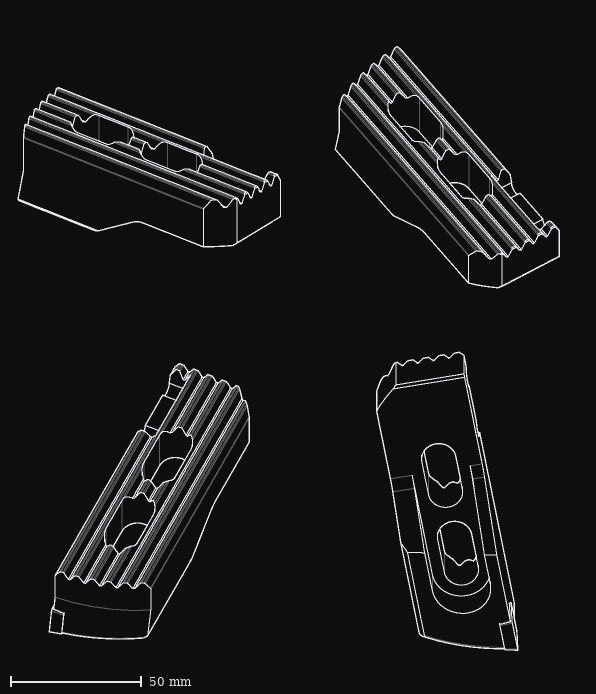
import cadquery as cq
import math


LENGTH = 111.5
WIDTH = 35.7
TOP_Z = 37.4
SHANK_BOTTOM_Z = 16.8
HEEL_BOTTOM_Z = 0.3
HEEL_END_X = 41.6
RAMP_ANGLE = 30.0
RAMP_FILLET = 10.0
UNDERSIDE_TILT = 5.6
UNDERSIDE_CHAMFER = 2.0
END_BOTTOM_CHAMFER = 1.0
END_TOP_CHAMFER = 0.5
END_CORNER = 9.1
END_CORNER_BULGE = 0.3

TEETH = 6
EDGE_TO_TOOTH = 2.8
TOOTH_PITCH = (WIDTH - 2 * EDGE_TO_TOOTH) / (TEETH - 1)
TOOTH_LAND = 1.5
TOOTH_FLANK_ANGLE = 28.5
TOOTH_DEPTH = 3.6
TOOTH_EDGE_FILLET = 0.6

NOSE_RADIUS = 83.6
NOSE_X = 3.7
NOSE_AXIS_Y = 4.5
NOSE_CONE_TOP_Z = 19.2
NOSE_CONE_ANGLE = 10.0
NOSE_EDGE_FILLET = 1.0

SLOT_WIDTH = 13.2
SLOT_LENGTH = 27.4
SLOT_CENTRES_X = (36.9, 70.7)
SLOT_CENTRE_Y = -16.0

SEAT_CENTRE_X = 92.5
SEAT_TOP_WIDTH = 31.2
SEAT_REACH = 8.0
SEAT_FLOOR_Z = 29.1
SEAT_WALL_DRAFT = 15.0
SEAT_RELIEF_RADIUS = 2.9
SEAT_RELIEF_OFFSET = 10.7

RECESS_WIDTH = 22.5

INSERT_HEIGHT = 12.7
INSERT_ANGLE = 80.0
INSERT_CLEARANCE = 7.0
INSERT_NOSE_RADIUS = 0.8
INSERT_PROUD = 0.7
INSERT_DEPTH = 4.2

MARGIN = 5.6


def tan(degrees):
    return math.tan(math.radians(degrees))


def side_body():
    """Length and height outline with the ramp, extruded across the width."""
    lowest_z = HEEL_BOTTOM_Z - MARGIN
    ramp_start_x = HEEL_END_X - MARGIN / tan(RAMP_ANGLE)
    ramp_end_x = HEEL_END_X + (SHANK_BOTTOM_Z - HEEL_BOTTOM_Z) / tan(RAMP_ANGLE)
    body = (
        cq.Workplane("XZ")
        .moveTo(-MARGIN, TOP_Z)
        .lineTo(LENGTH - END_TOP_CHAMFER, TOP_Z)
        .lineTo(LENGTH, TOP_Z - END_TOP_CHAMFER)
        .lineTo(LENGTH, SHANK_BOTTOM_Z + END_BOTTOM_CHAMFER)
        .lineTo(LENGTH - END_BOTTOM_CHAMFER, SHANK_BOTTOM_Z)
        .lineTo(ramp_end_x, SHANK_BOTTOM_Z)
        .lineTo(ramp_start_x, lowest_z)
        .lineTo(-MARGIN, lowest_z)
        .close()
        .extrude(WIDTH)
    )
    ramp_top = cq.selectors.NearestToPointSelector((ramp_end_x, -WIDTH / 2, SHANK_BOTTOM_Z))
    return body.edges(ramp_top).fillet(RAMP_FILLET)


def cross_section_body():
    """Width and height outline with the teeth and the tilted underside, run along the length."""
    flank = TOOTH_DEPTH * tan(TOOTH_FLANK_ANGLE)
    shoulder_z = TOP_Z - (EDGE_TO_TOOTH - TOOTH_LAND / 2) / tan(TOOTH_FLANK_ANGLE)
    chamfer_y = -WIDTH + UNDERSIDE_CHAMFER
    chamfer_z = HEEL_BOTTOM_Z - chamfer_y * tan(UNDERSIDE_TILT)
    points = [(0, HEEL_BOTTOM_Z), (0, shoulder_z)]
    for tooth in range(TEETH):
        middle = -EDGE_TO_TOOTH - tooth * TOOTH_PITCH
        if tooth > 0:
            points.append((middle + TOOTH_LAND / 2 + flank, TOP_Z - TOOTH_DEPTH))
        points.append((middle + TOOTH_LAND / 2, TOP_Z))
        points.append((middle - TOOTH_LAND / 2, TOP_Z))
        if tooth < TEETH - 1:
            points.append((middle - TOOTH_LAND / 2 - flank, TOP_Z - TOOTH_DEPTH))
    points.append((-WIDTH, shoulder_z))
    points.append((-WIDTH, chamfer_z + UNDERSIDE_CHAMFER))
    points.append((chamfer_y, chamfer_z))
    bar = cq.Workplane("YZ").polyline(points).close().extrude(LENGTH + MARGIN)
    bar = bar.faces(">Z").edges("|X").fillet(TOOTH_EDGE_FILLET)
    for side_y in (0, -WIDTH):
        shoulder = cq.selectors.NearestToPointSelector((LENGTH / 2, side_y, shoulder_z))
        bar = bar.edges(shoulder).fillet(TOOTH_EDGE_FILLET)
    return bar


def nose_body():
    """Turned shape whose outside is the curved nose of the holder."""
    base_z = -MARGIN
    base_radius = NOSE_RADIUS + (NOSE_CONE_TOP_Z - base_z) * tan(NOSE_CONE_ANGLE)
    turned = (
        cq.Workplane("XZ")
        .polyline([
            (0, base_z),
            (base_radius, base_z),
            (NOSE_RADIUS, NOSE_CONE_TOP_Z),
            (NOSE_RADIUS, TOP_Z + MARGIN),
            (0, TOP_Z + MARGIN),
        ])
        .close()
        .revolve(360, (0, 0), (0, 1))
    )
    return turned.translate((NOSE_X + NOSE_RADIUS, NOSE_AXIS_Y, 0))


def end_corner_cutter():
    """Everything outside the gently bulged corner at the far end of the front face."""
    start = (LENGTH - END_CORNER, -WIDTH)
    end = (LENGTH, -WIDTH + END_CORNER)
    shift = END_CORNER_BULGE / math.sqrt(2)
    middle = (LENGTH - END_CORNER / 2 + shift, -WIDTH + END_CORNER / 2 - shift)
    return (
        cq.Workplane("XY")
        .moveTo(*start)
        .threePointArc(middle, end)
        .lineTo(LENGTH + MARGIN, end[1])
        .lineTo(LENGTH + MARGIN, -WIDTH - MARGIN)
        .lineTo(start[0], -WIDTH - MARGIN)
        .close()
        .extrude(TOP_Z + MARGIN)
    )


def slot_cutter():
    return (
        cq.Workplane("XY")
        .pushPoints([(x, SLOT_CENTRE_Y) for x in SLOT_CENTRES_X])
        .slot2D(SLOT_LENGTH, SLOT_WIDTH)
        .extrude(TOP_Z + MARGIN)
    )


def seat_cutter():
    """Drafted seat with a round relief groove along the foot of each end wall."""
    half_top = SEAT_TOP_WIDTH / 2
    half_floor = half_top - (TOP_Z - SEAT_FLOOR_Z) * tan(SEAT_WALL_DRAFT)
    cutter = (
        cq.Workplane("XZ")
        .polyline([
            (SEAT_CENTRE_X - half_top, TOP_Z),
            (SEAT_CENTRE_X + half_top, TOP_Z),
            (SEAT_CENTRE_X + half_floor, SEAT_FLOOR_Z),
            (SEAT_CENTRE_X - half_floor, SEAT_FLOOR_Z),
        ])
        .close()
        .extrude(SEAT_REACH)
    )
    for side in (-1, 1):
        groove = (
            cq.Workplane("XZ")
            .center(SEAT_CENTRE_X + side * SEAT_RELIEF_OFFSET, SEAT_FLOOR_Z)
            .circle(SEAT_RELIEF_RADIUS)
            .extrude(SEAT_REACH)
        )
        cutter = cutter.union(groove)
    return cutter


def head_recess_cutter():
    """Round-ended recess concentric with the outer slot ends, level with the shank underside."""
    first_x, last_x = SLOT_CENTRES_X
    length = last_x - first_x + SLOT_LENGTH - SLOT_WIDTH + RECESS_WIDTH
    return (
        cq.Workplane("XY", origin=(0, 0, -MARGIN))
        .center((first_x + last_x) / 2, SLOT_CENTRE_Y)
        .slot2D(length, RECESS_WIDTH)
        .extrude(SHANK_BOTTOM_Z + MARGIN)
    )


def make_insert():
    side = INSERT_HEIGHT / math.sin(math.radians(INSERT_ANGLE))
    lean = INSERT_HEIGHT / tan(INSERT_ANGLE)
    corner_x = INSERT_NOSE_RADIUS * (1 - 1 / tan(INSERT_ANGLE / 2))
    return (
        cq.Workplane("XZ", origin=(corner_x, INSERT_PROUD, 0))
        .polyline([(0, 0), (side, 0), (side + lean, INSERT_HEIGHT), (lean, INSERT_HEIGHT)])
        .close()
        .extrude(INSERT_PROUD + INSERT_DEPTH, taper=INSERT_CLEARANCE)
        .edges("not #Y")
        .fillet(INSERT_NOSE_RADIUS)
    )


def make_holder(insert):
    body = side_body().intersect(cross_section_body()).intersect(nose_body())
    mid_width_z = HEEL_BOTTOM_Z + WIDTH / 2 * tan(UNDERSIDE_TILT)
    nose_edge = cq.selectors.NearestToPointSelector((NOSE_X, -WIDTH / 2, mid_width_z))
    body = body.edges(nose_edge).fillet(NOSE_EDGE_FILLET)
    body = body.cut(end_corner_cutter())
    body = body.cut(slot_cutter())
    body = body.cut(seat_cutter())
    body = body.cut(head_recess_cutter())
    return body.cut(insert)


insert = make_insert()
holder = make_holder(insert)
result = cq.Compound.makeCompound([holder.val(), insert.val()])